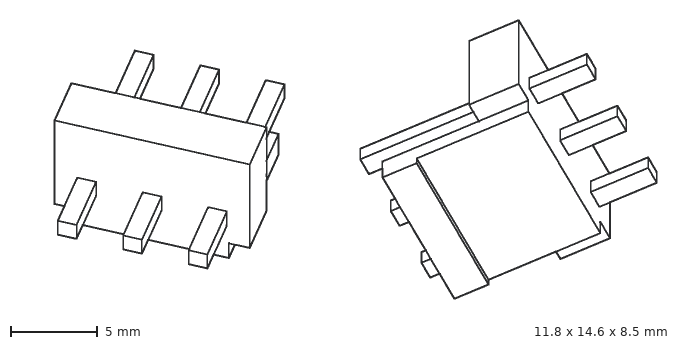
import cadquery as cq

wall_width = 11.82
wall_depth = 3.2
wall_height = 6.8

plate_width = 9.3
plate_length = 9.4
plate_thickness = 1.2

lip_length = 2.2
lip_drop = 0.5

pin_count = 3
pin_pitch = 3.96
pin_size = 1.14
pin_height = 2.0
pin_front_reach = 3.7
pin_rear_reach = 7.7
pin_length = pin_front_reach + wall_depth + pin_rear_reach


def make_wall():
    return cq.Workplane("XY").box(wall_width, wall_depth, wall_height, centered=(True, False, False))


def make_locking_plate():
    lip_front = plate_length - lip_length
    lip_bottom = -plate_thickness - lip_drop
    profile = [
        (0, 0),
        (plate_length, 0),
        (plate_length, lip_bottom),
        (lip_front, lip_bottom),
        (lip_front, -plate_thickness),
        (0, -plate_thickness),
    ]
    return cq.Workplane("YZ").polyline(profile).close().extrude(plate_width / 2, both=True)


def make_pin(x):
    pin = cq.Workplane("XY").box(pin_size, pin_length, pin_size, centered=(True, False, True))
    return pin.translate((x, -pin_front_reach, pin_height))


result = make_wall().union(make_locking_plate())
for index in range(pin_count):
    pin_x = (index - (pin_count - 1) / 2) * pin_pitch
    result = result.union(make_pin(pin_x))